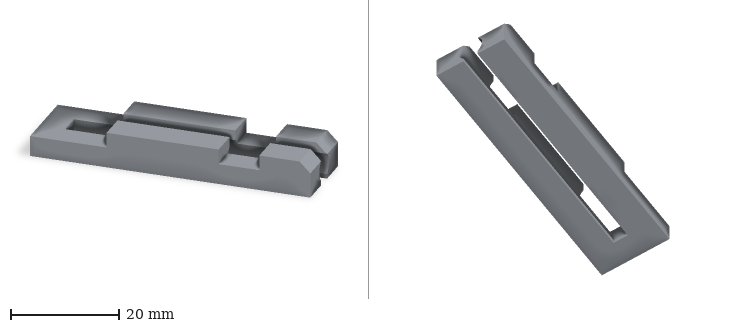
import cadquery as cq

length = 55.0
width = 15.0
height = 7.0

deck_height = 4.0
rail_start = 15.0
rail_end = 37.0
end_pad_start = 45.0
end_chamfer = 2.1

channel_start = 5.0
slot_width = 3.15
bore_radius = 2.6
bore_axis_height = 2.95


def stepped_body():
    """Block with a low deck, a raised rail and a chamfered end pad."""
    profile = [
        (0, 0),
        (length, 0),
        (length, height - end_chamfer),
        (length - end_chamfer, height),
        (end_pad_start, height),
        (end_pad_start, deck_height),
        (rail_end, deck_height),
        (rail_end, height),
        (rail_start, height),
        (rail_start, deck_height),
        (0, deck_height),
    ]
    return cq.Workplane("XZ").polyline(profile).close().extrude(width / 2, both=True)


def channel():
    """Narrow through slot widened by a round bore along its length."""
    channel_length = length - channel_start
    slot = cq.Workplane("XY").box(
        channel_length, slot_width, height, centered=(False, True, False)
    )
    bore = cq.Workplane("YZ").center(0, bore_axis_height).circle(bore_radius).extrude(channel_length)
    return slot.union(bore).translate((channel_start, 0, 0))


result = stepped_body().cut(channel())